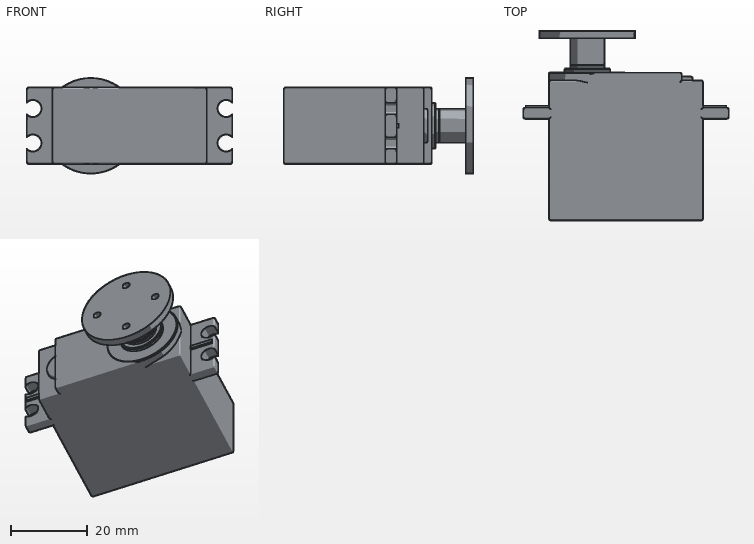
import cadquery as cq
import math


CASE_LENGTH = 40.2
CASE_WIDTH = 20.0
SHOULDER_Y = 36.6
STEP_HEIGHT = 2.0
DECK_Y = SHOULDER_Y + STEP_HEIGHT
EDGE_RADIUS = 0.6
CASE_LEFT = -CASE_WIDTH / 2
CASE_RIGHT = CASE_LEFT + CASE_LENGTH
STEP_LEFT = 0.0
STEP_INSET = 5.5
STEP_RIGHT = CASE_RIGHT - STEP_INSET

TAB_SPAN = 53.6
TAB_LENGTH = (TAB_SPAN - CASE_LENGTH) / 2
TAB_THICKNESS = 3.0
TAB_Y = 26.5
TAB_TOP = TAB_Y + TAB_THICKNESS
TAB_LEFT = CASE_LEFT - TAB_LENGTH
TAB_RIGHT = CASE_RIGHT + TAB_LENGTH
MOUNT_HOLE_RADIUS = 2.2
MOUNT_HOLE_INSET = 1.6
MOUNT_HOLE_SPACING = 9.0
RIB_WIDTH = 1.0
RIB_HEIGHT = 0.5

BOSS_RADIUS = CASE_WIDTH / 2
BOSS_RISE = 0.1
BOSS_TOP = DECK_Y + BOSS_RISE
COLLAR_RADIUS = 6.0
COLLAR_HEIGHT = 1.0
SHAFT_RADIUS = 4.5
SHAFT_HEIGHT = 1.0
TURNED_CHAMFER = 0.3
LUG_X = 22.5
LUG_RADIUS = 5.0
LUG_HEIGHT = 1.0
COLLAR_TOP = BOSS_TOP + COLLAR_HEIGHT
SHAFT_TOP = COLLAR_TOP + SHAFT_HEIGHT

HORN_TOP = 49.5
HORN_RADIUS = 12.5
HORN_THICKNESS = 2.0
HORN_HOLE_COUNT = 4
HORN_HOLE_RADIUS = 1.0
HORN_HOLE_CIRCLE_RADIUS = 8.2
HORN_UNDERSIDE = HORN_TOP - HORN_THICKNESS


def cylinder(radius, bottom, top, x=0.0, z=0.0):
    """Cylinder along Y from bottom to top."""
    solid = cq.Solid.makeCylinder(radius, top - bottom, cq.Vector(x, bottom, z), cq.Vector(0, 1, 0))
    return cq.Workplane(obj=solid)


def make_case_block():
    """Case and tabs as one outline across the width, rounded on its outer edges."""
    outline = [
        (CASE_LEFT, 0),
        (CASE_RIGHT, 0),
        (CASE_RIGHT, TAB_Y),
        (TAB_RIGHT, TAB_Y),
        (TAB_RIGHT, TAB_TOP),
        (CASE_RIGHT, TAB_TOP),
        (CASE_RIGHT, SHOULDER_Y),
        (STEP_RIGHT, SHOULDER_Y),
        (STEP_RIGHT, DECK_Y),
        (STEP_LEFT, DECK_Y),
        (STEP_LEFT, SHOULDER_Y),
        (CASE_LEFT, SHOULDER_Y),
        (CASE_LEFT, TAB_TOP),
        (TAB_LEFT, TAB_TOP),
        (TAB_LEFT, TAB_Y),
        (CASE_LEFT, TAB_Y),
    ]
    block = cq.Workplane("XY").polyline(outline).close().extrude(CASE_WIDTH / 2, both=True)

    rounded_corners = {
        (CASE_LEFT, 0),
        (CASE_RIGHT, 0),
        (CASE_LEFT, SHOULDER_Y),
        (CASE_RIGHT, SHOULDER_Y),
        (STEP_RIGHT, DECK_Y),
        (TAB_LEFT, TAB_Y),
        (TAB_LEFT, TAB_TOP),
        (TAB_RIGHT, TAB_Y),
        (TAB_RIGHT, TAB_TOP),
    }

    def is_rounded(edge):
        center = edge.Center()
        if abs(center.z) < CASE_WIDTH / 4:
            return any(math.dist((center.x, center.y), corner) < EDGE_RADIUS for corner in rounded_corners)
        return abs(center.x - STEP_LEFT) > EDGE_RADIUS

    return block.newObject([e for e in block.edges().vals() if is_rounded(e)]).fillet(EDGE_RADIUS)


def cut_mount_holes(case):
    """Pairs of holes that break through the end of each tab."""
    for x in (TAB_LEFT + MOUNT_HOLE_INSET, TAB_RIGHT - MOUNT_HOLE_INSET):
        for z in (-MOUNT_HOLE_SPACING / 2, MOUNT_HOLE_SPACING / 2):
            case = case.cut(cylinder(MOUNT_HOLE_RADIUS, TAB_Y, TAB_TOP, x, z))
    return case


def add_tab_ribs(case):
    """Narrow stiffening rib along the middle of each tab."""
    rib_length = TAB_LENGTH - EDGE_RADIUS
    for start in (TAB_LEFT + EDGE_RADIUS, CASE_RIGHT):
        rib = cq.Workplane("XY").box(rib_length, RIB_HEIGHT + EDGE_RADIUS, RIB_WIDTH, centered=(False, False, True))
        case = case.union(rib.translate((start, TAB_TOP - EDGE_RADIUS, 0)))
    return case


def make_servo():
    servo = add_tab_ribs(cut_mount_holes(make_case_block()))

    base_y = SHOULDER_Y - STEP_HEIGHT
    lug = cylinder(LUG_RADIUS, base_y, SHOULDER_Y + LUG_HEIGHT, LUG_X).faces(">Y").edges().fillet(EDGE_RADIUS)
    servo = servo.union(lug)

    turned_steps = [
        (BOSS_RADIUS, base_y, BOSS_TOP),
        (COLLAR_RADIUS, BOSS_TOP, COLLAR_TOP),
        (SHAFT_RADIUS, COLLAR_TOP, SHAFT_TOP),
    ]
    for radius, bottom, top in turned_steps:
        step = cylinder(radius, bottom, top).faces(">Y").edges().chamfer(TURNED_CHAMFER)
        servo = servo.union(step)
    return servo


def make_horn():
    """Disc on a plain hub that rests on the end of the shaft."""
    hub = cylinder(SHAFT_RADIUS, SHAFT_TOP, HORN_UNDERSIDE)
    horn = cylinder(HORN_RADIUS, HORN_UNDERSIDE, HORN_TOP).union(hub)
    for index in range(HORN_HOLE_COUNT):
        angle = 2 * math.pi * index / HORN_HOLE_COUNT
        x = HORN_HOLE_CIRCLE_RADIUS * math.cos(angle)
        z = HORN_HOLE_CIRCLE_RADIUS * math.sin(angle)
        horn = horn.cut(cylinder(HORN_HOLE_RADIUS, HORN_UNDERSIDE, HORN_TOP, x, z))
    return horn


servo = make_servo()
horn = make_horn()

result = cq.Compound.makeCompound([servo.val(), horn.val()])